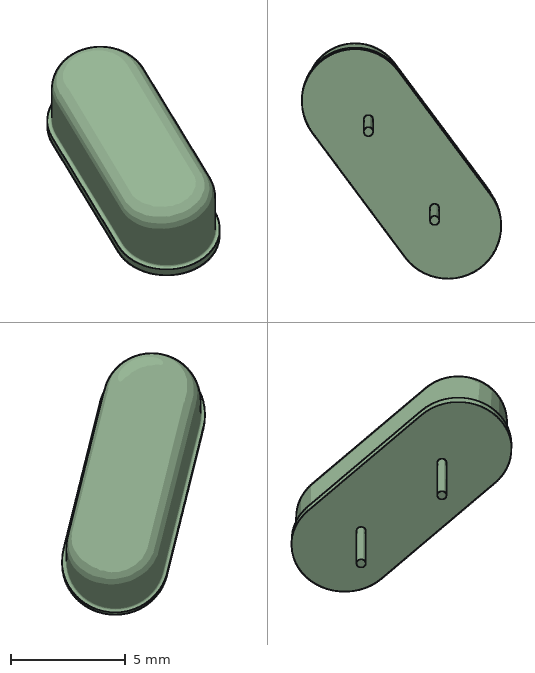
import cadquery as cq

flange_length = 11.5
flange_width = 4.65
flange_height = 0.4

flange_ledge = 0.2
cap_length = flange_length - 2 * flange_ledge
cap_width = flange_width - 2 * flange_ledge
body_height = 3.5
cap_height = body_height - flange_height
cap_top_radius = 1.0
cap_foot_radius = 0.1

pin_diameter = 0.4
pin_spacing = 4.88
pin_length = 3.0


def make_flange():
    """Rounded-end plate standing on the plane Z = 0."""
    return cq.Workplane("XY").slot2D(flange_length, flange_width).extrude(flange_height)


def add_cap(flange):
    """Add the cap with a rounded top rim and a small fillet around its foot."""
    cap = (
        cq.Workplane("XY", origin=(0, 0, flange_height))
        .slot2D(cap_length, cap_width)
        .extrude(cap_height)
        .faces(">Z")
        .edges()
        .fillet(cap_top_radius)
    )
    body = flange.union(cap)
    box_margin = flange_ledge / 2
    foot_edges = cq.selectors.BoxSelector(
        (-cap_length / 2 - box_margin, -cap_width / 2 - box_margin, flange_height - box_margin),
        (cap_length / 2 + box_margin, cap_width / 2 + box_margin, flange_height + box_margin),
        boundingbox=True,
    )
    return body.edges(foot_edges).fillet(cap_foot_radius)


def make_pins():
    """Two round pins hanging below the flange."""
    return (
        cq.Workplane("XY")
        .pushPoints([(-pin_spacing / 2, 0), (pin_spacing / 2, 0)])
        .circle(pin_diameter / 2)
        .extrude(-pin_length)
    )


result = add_cap(make_flange()).union(make_pins())